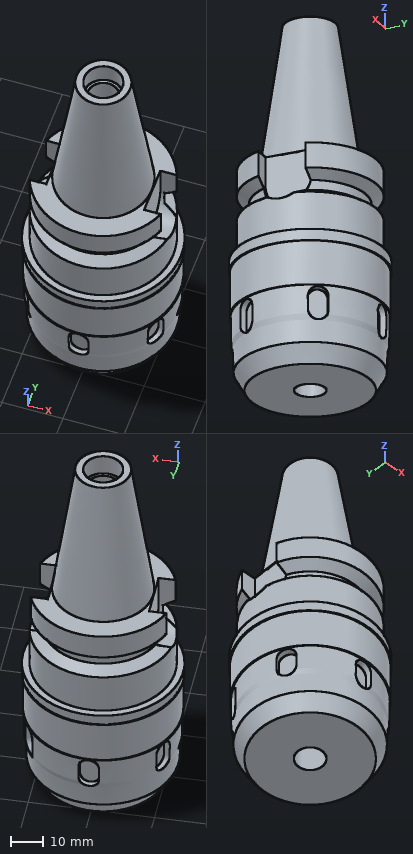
import cadquery as cq

total_height = 123.4
nose_chamfer_height = 5.9
nose_ring_top = 13.3
band_bottom = 15.2
band_top = 25.0
sleeve_top = 40.0
rim_top = 43.8
collar_top = 57.5
neck_bottom = 59.8
neck_top = 63.2
flange_bottom = 65.8
flange_top = 74.3
taper_bottom = 74.9

nose_end_radius = 20.5
nose_radius = 24.0
nose_ring_radius = 24.2
band_lower_radius = 24.7
band_upper_radius = 24.8
sleeve_radius = 25.0
rim_diameter = 50.7
rim_radius = rim_diameter / 2
flange_radius = 23.0
neck_radius = 19.1
taper_base_radius = 15.9
taper_tip_radius = 8.8

bore_radius = 5.0
counterbore_diameter = 12.5
counterbore_depth = 7.0

keyway_count = 2
keyway_width = 16.0
keyway_floor = 16.0
keyway_round_center = 64.2

slot_count = 6
slot_width = 6.4
slot_bottom = 13.6
slot_top = 24.5
slot_floor = 22.2

cutter_reach = rim_radius + 1.2


def make_body():
    """Revolve the outer profile about the Z axis."""
    profile = [
        (0, 0),
        (nose_end_radius, 0),
        (nose_radius, nose_chamfer_height),
        (nose_ring_radius, nose_ring_top),
        (band_lower_radius, band_bottom),
        (band_upper_radius, band_top),
        (sleeve_radius, band_top),
        (sleeve_radius, sleeve_top),
        (rim_radius, sleeve_top),
        (rim_radius, rim_top),
        (flange_radius, rim_top),
        (flange_radius, collar_top),
        (neck_radius, neck_bottom),
        (neck_radius, neck_top),
        (flange_radius, flange_bottom),
        (flange_radius, flange_top),
        (taper_base_radius, flange_top),
        (taper_base_radius, taper_bottom),
        (taper_tip_radius, total_height),
        (0, total_height),
    ]
    return cq.Workplane("XZ").polyline(profile).close().revolve(360, (0, 0), (0, 1))


def make_bore():
    through = cq.Workplane("XY").circle(bore_radius).extrude(total_height)
    counterbore = (
        cq.Workplane("XY", origin=(0, 0, total_height - counterbore_depth))
        .circle(counterbore_diameter / 2)
        .extrude(counterbore_depth)
    )
    return through.union(counterbore)


def make_keyway():
    """Cutter on the +X side, open through the top of the flange."""
    half_width = keyway_width / 2
    return (
        cq.Workplane("YZ", origin=(keyway_floor, 0, 0))
        .moveTo(-half_width, flange_top)
        .lineTo(-half_width, keyway_round_center)
        .threePointArc((0, keyway_round_center - half_width), (half_width, keyway_round_center))
        .lineTo(half_width, flange_top)
        .close()
        .extrude(cutter_reach - keyway_floor)
    )


def make_spanner_slot():
    """Upright round-ended cutter on the +Y side."""
    return (
        cq.Workplane("XZ", origin=(0, cutter_reach, 0))
        .center(0, (slot_bottom + slot_top) / 2)
        .slot2D(slot_top - slot_bottom, slot_width, 90)
        .extrude(cutter_reach - slot_floor)
    )


def cut_around_axis(body, cutter, count):
    """Cut equally spaced copies of a cutter around the Z axis."""
    for index in range(count):
        body = body.cut(cutter.rotate((0, 0, 0), (0, 0, 1), index * 360 / count))
    return body


result = make_body().cut(make_bore())
result = cut_around_axis(result, make_keyway(), keyway_count)
result = cut_around_axis(result, make_spanner_slot(), slot_count)